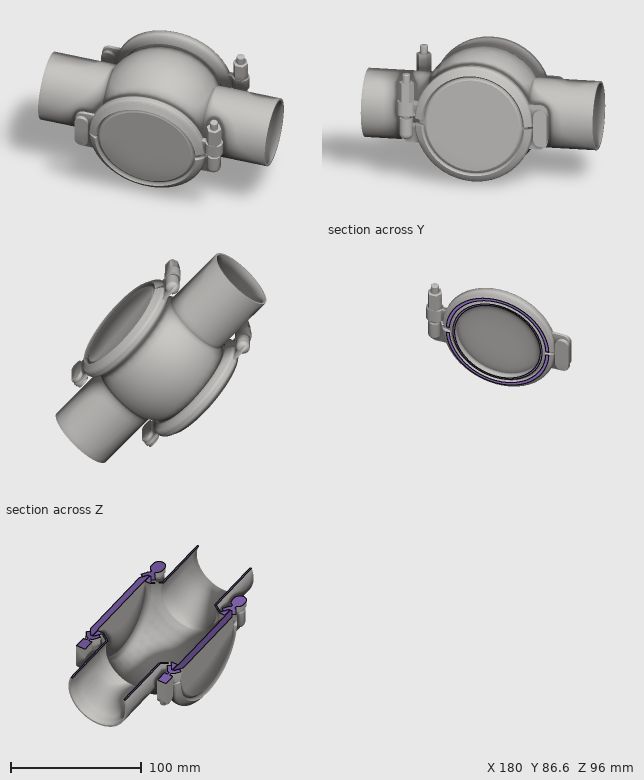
import cadquery as cq
import math

PIPE_LENGTH = 180.0
PIPE_R = 26.5
BALL_R = 48.0
WALL = 1.5

JOINT_Y = 36.6
HUB_R = 36.2
FLANGE_R = 42.1
HUB_REACH = 5.5
RIM_REACH = 1.5

RING_R = 46.0
CLAMP_OUTER_SPAN = 86.59
LIP_REACH = CLAMP_OUTER_SPAN / 2 - JOINT_Y
LIP_R = 40.0
LIP_INNER_R = 38.4
SHOULDER_R = 44.0
SHOULDER_REACH = 3.95
SHOULDER_ROUND = 3.5
CROWN_REACH = 1.4
HINGE_GAP = 2.4
BOLT_GAP = 4.9

WEB_REACH_X = 57.0
WEB_HEIGHT = 35.0
WEB_THICKNESS = 2.2
WEB_CORNER_R = 6.0
LINK_WIDTH = 10.4
LINK_HEIGHT = 29.0
LINK_THICKNESS = 8.0

BOLT_X = 52.7
STUD_R = 3.0
STUD_TOP = 36.6
STUD_CHAMFER = 0.5
NUT_FLATS = 10.0
NUT_TOP = 30.0
EYE_TOP = 15.0
EYE_BOTTOM = 4.1
EYE_LENGTH = 13.6
EYE_WIDTH = 10.4
EYE_NECK_WIDTH = 3.8
EYE_NECK_START_X = 43.5
BARREL_R = 5.2
BARREL_TOP = 1.4
BARREL_BOTTOM = -14.9
BARREL_ROUND = 3.8


def revolve_about_y(section):
    """Revolve an XY section (x = radius) a full turn about the Y axis."""
    return section.close().revolve(360, (0, 0, 0), (0, 1, 0))


def upright_at_bolt(z):
    """Horizontal sketch plane on the bolt axis at height z."""
    return cq.Workplane("XY", origin=(BOLT_X, 0, z))


def cone_reach(radius):
    """Distance from the joint plane to the flange cone at a given radius."""
    slope = (HUB_REACH - RIM_REACH) / (FLANGE_R - HUB_R)
    return RIM_REACH + (FLANGE_R - radius) * slope


def make_ball_with_pipe(ball_radius, pipe_radius):
    """Solid ball on a long pipe, revolved about the X axis."""
    end_x = PIPE_LENGTH / 2
    meet_x = math.sqrt(ball_radius**2 - pipe_radius**2)
    outline = (
        cq.Workplane("XZ")
        .moveTo(-end_x, 0)
        .lineTo(-end_x, pipe_radius)
        .lineTo(-meet_x, pipe_radius)
        .threePointArc((0, ball_radius), (meet_x, pipe_radius))
        .lineTo(end_x, pipe_radius)
        .lineTo(end_x, 0)
        .close()
    )
    return outline.revolve(360, (0, 0, 0), (1, 0, 0))


def make_housing():
    """Hollow ball with a through pipe along X and a flanged ferrule on each side."""
    hub_y = JOINT_Y - HUB_REACH
    between_hubs = cq.Workplane("XY").box(PIPE_LENGTH, 2 * hub_y, 2 * BALL_R)
    body = make_ball_with_pipe(BALL_R, PIPE_R).intersect(between_hubs)

    flange = revolve_about_y(
        cq.Workplane("XY")
        .moveTo(0, hub_y)
        .lineTo(HUB_R, hub_y)
        .lineTo(FLANGE_R, JOINT_Y - RIM_REACH)
        .lineTo(FLANGE_R, JOINT_Y)
        .lineTo(0, JOINT_Y)
    )
    body = body.union(flange).union(flange.mirror("XZ"))

    side_plane = cq.Workplane("XZ", origin=(0, JOINT_Y, 0))
    side_bore = side_plane.circle(HUB_R - WALL).extrude(2 * JOINT_Y)
    cavity = make_ball_with_pipe(BALL_R - WALL, PIPE_R - WALL)
    return body.cut(cavity).cut(side_bore)


def make_cap():
    """Solid end cap on the +Y joint: a disc with the flange cone facing outward."""
    return revolve_about_y(
        cq.Workplane("XY")
        .moveTo(0, JOINT_Y)
        .lineTo(FLANGE_R, JOINT_Y)
        .lineTo(FLANGE_R, JOINT_Y + RIM_REACH)
        .lineTo(HUB_R, JOINT_Y + HUB_REACH)
        .lineTo(0, JOINT_Y + HUB_REACH)
    )


def make_ring_bore():
    """Space inside the clamp ring: grooved to fit the two flange cones, flared at both lips."""
    throat = cone_reach(LIP_INNER_R)
    return revolve_about_y(
        cq.Workplane("XY")
        .moveTo(0, -LIP_REACH)
        .lineTo(LIP_R, -LIP_REACH)
        .lineTo(LIP_INNER_R, -throat)
        .lineTo(FLANGE_R, -RIM_REACH)
        .lineTo(FLANGE_R, RIM_REACH)
        .lineTo(LIP_INNER_R, throat)
        .lineTo(LIP_R, LIP_REACH)
        .lineTo(0, LIP_REACH)
    )


def make_ring_blank():
    """Outside of the clamp ring: cones rising from the lips, rounded into a flat crown."""
    return revolve_about_y(
        cq.Workplane("XY")
        .moveTo(0, -LIP_REACH)
        .lineTo(LIP_R, -LIP_REACH)
        .lineTo(SHOULDER_R, -SHOULDER_REACH)
        .radiusArc((RING_R, -CROWN_REACH), -SHOULDER_ROUND)
        .lineTo(RING_R, CROWN_REACH)
        .radiusArc((SHOULDER_R, SHOULDER_REACH), -SHOULDER_ROUND)
        .lineTo(LIP_R, LIP_REACH)
        .lineTo(0, LIP_REACH)
    )


def make_web():
    """Flat plate through the ring, without the quarter above the bolt-side gap."""
    web = cq.Workplane("XY").box(2 * WEB_REACH_X, WEB_THICKNESS, WEB_HEIGHT)
    web = web.edges("|Y").fillet(WEB_CORNER_R)
    quarter = cq.Workplane("XY").box(
        WEB_REACH_X, WEB_THICKNESS, WEB_HEIGHT, centered=(False, True, False)
    )
    return web.cut(quarter)


def make_gap(width, direction):
    """Slot that parts the ring halves on the -X (direction -1) or +X (direction 1) side."""
    center_x = direction * WEB_REACH_X / 2
    return cq.Workplane("XY").center(center_x, 0).box(WEB_REACH_X, 2 * LIP_REACH, width)


def make_bolt():
    """Stud with hex nut, eye with its neck to the ring, and the round-ended barrel below."""
    stud = upright_at_bolt(0).circle(STUD_R).extrude(STUD_TOP)
    stud = stud.faces(">Z").chamfer(STUD_CHAMFER)
    nut_corners = NUT_FLATS / math.cos(math.pi / 6)
    nut = upright_at_bolt(EYE_TOP).polygon(6, nut_corners).extrude(NUT_TOP - EYE_TOP)
    eye_height = EYE_TOP - EYE_BOTTOM
    eye = upright_at_bolt(EYE_BOTTOM).slot2D(EYE_LENGTH, EYE_WIDTH).extrude(eye_height)
    neck = cq.Workplane("XY", origin=(EYE_NECK_START_X, 0, EYE_BOTTOM)).box(
        BOLT_X - EYE_NECK_START_X, EYE_NECK_WIDTH, eye_height, centered=(False, True, False)
    )
    barrel = upright_at_bolt(BARREL_BOTTOM).circle(BARREL_R).extrude(BARREL_TOP - BARREL_BOTTOM)
    barrel = barrel.faces("<Z").edges().fillet(BARREL_ROUND)
    return stud.union(nut).union(eye).union(neck).union(barrel)


def make_clamp():
    """Clamp about the origin: split ring, web, hinge link on -X and bolt on +X."""
    link_plane = cq.Workplane("XZ", origin=(LINK_WIDTH / 2 - WEB_REACH_X, LINK_THICKNESS / 2, 0))
    link = link_plane.slot2D(LINK_HEIGHT, LINK_WIDTH, 90).extrude(LINK_THICKNESS)
    split = make_ring_blank().union(make_web())
    split = split.cut(make_gap(HINGE_GAP, -1)).cut(make_gap(BOLT_GAP, 1))
    return split.union(link).union(make_bolt()).cut(make_ring_bore())


housing = make_housing()
back_cap = make_cap()
caps = [back_cap, back_cap.mirror("XZ")]
clamp = make_clamp()
clamps = [clamp.translate((0, y, 0)) for y in (-JOINT_Y, JOINT_Y)]

result = cq.Compound.makeCompound(
    [housing.val()]
    + [cap.val() for cap in caps]
    + [ring for placed in clamps for ring in placed.vals()]
)